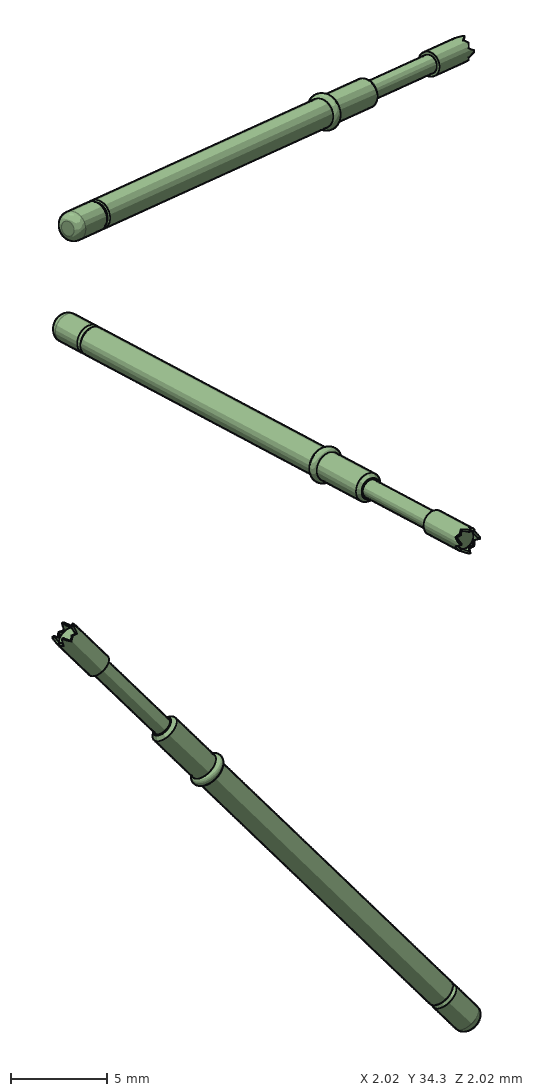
import cadquery as cq
import math

length = 34.3
tail_y = -length / 2
tip_y = length / 2

barrel_radius = 0.805
barrel_length = 25.95
tail_face_radius = 0.4
tail_round_length = 0.48
mouth_chamfer = 0.2

groove_offset = 2.33
groove_width = 0.27
groove_steep_width = 0.07
groove_depth = 0.1

ring_radius = 1.012
ring_offset = 21.92
ring_width = 0.55

stem_radius = 0.5
head_radius = 0.7
head_length = 3.02

tall_teeth = 4
tooth_pitch = 360 / tall_teeth
tip_half_angle = 4
bore_radius = 0.55
notch_depth = 0.4
low_tooth_drop = 0.25


def cylinder(radius, start, end):
    """Solid round bar around the Y axis between two Y positions."""
    return cq.Workplane("XZ", origin=(0, start, 0)).circle(radius).extrude(start - end)


def make_barrel():
    """Turned tube body with a rounded tail, a crimp groove and a chamfered mouth."""
    mouth_y = tail_y + barrel_length
    groove_start = tail_y + groove_offset
    groove_end = groove_start + groove_width
    shoulder_y = tail_y + tail_round_length
    drop = barrel_radius - tail_face_radius
    mid_arc = math.sqrt(0.5)
    outline = (
        cq.Workplane("XY")
        .moveTo(0, tail_y)
        .lineTo(tail_face_radius, tail_y)
        .threePointArc(
            (tail_face_radius + drop * mid_arc, shoulder_y - tail_round_length * mid_arc),
            (barrel_radius, shoulder_y),
        )
        .lineTo(barrel_radius, groove_start)
        .lineTo(barrel_radius - groove_depth, groove_end - groove_steep_width)
        .lineTo(barrel_radius, groove_end)
        .lineTo(barrel_radius, mouth_y - mouth_chamfer)
        .lineTo(barrel_radius - mouth_chamfer, mouth_y)
        .lineTo(0, mouth_y)
        .close()
    )
    return outline.revolve(360, (0, 0, 0), (0, 1, 0))


def make_ring():
    """Disc whose rim bulges from the barrel surface in one arc."""
    start = tail_y + ring_offset
    end = start + ring_width
    outline = (
        cq.Workplane("XY")
        .moveTo(0, start)
        .lineTo(barrel_radius, start)
        .threePointArc((ring_radius, (start + end) / 2), (barrel_radius, end))
        .lineTo(0, end)
        .close()
    )
    return outline.revolve(360, (0, 0, 0), (0, 1, 0))


def make_plunger():
    """Thin stem rising from the barrel mouth and the plain head on its end."""
    head_y = tip_y - head_length
    stem = cylinder(stem_radius, tail_y + barrel_length - mouth_chamfer, head_y)
    return stem.union(cylinder(head_radius, head_y, tip_y))


def notch_outline(distance):
    """W-shaped gap between two tall teeth, where it stands at a distance from the probe axis."""
    edge = distance * math.tan(math.radians(tooth_pitch / 2 - tip_half_angle))
    valley = distance * math.tan(math.radians(tooth_pitch / 4))
    return [
        (-edge, 0),
        (-valley, -notch_depth),
        (0, -low_tooth_drop),
        (valley, -notch_depth),
        (edge, 0),
    ]


def cut_crown(plunger):
    """Hollow the end of the head and cut the gaps that leave the teeth."""
    bore = cylinder(bore_radius, tip_y - notch_depth, tip_y)
    plunger = plunger.cut(bore)
    inside = bore_radius / 2
    outside = head_radius * 2
    notch = (
        cq.Workplane("XY", origin=(0, tip_y, inside))
        .polyline(notch_outline(inside))
        .close()
        .workplane(offset=outside - inside)
        .polyline(notch_outline(outside))
        .close()
        .loft(ruled=True)
    )
    for index in range(tall_teeth):
        angle = (index + 0.5) * tooth_pitch
        plunger = plunger.cut(notch.rotate((0, 0, 0), (0, 1, 0), angle))
    return plunger


result = make_barrel().union(make_ring()).union(cut_crown(make_plunger()))